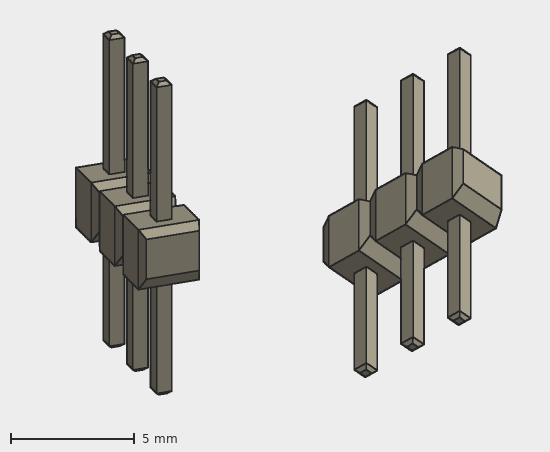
import cadquery as cq

pin_count = 3
total_height = 13.82
row_length = 7.61
pitch = row_length / pin_count

housing_size = 2.64
taper_length = 0.45
taper_side = 0.17
taper_top = 0.26
taper_bottom = 0.62

pin_width = 0.66
tip_width = 0.33
tip_height = 0.15
lower_pin_length = 5.1
upper_pin_length = total_height - housing_size - lower_pin_length

pin_positions = [(i - (pin_count - 1) / 2) * pitch for i in range(pin_count)]


def segment_taper(center_x, side):
    """Tapered end of a segment; side is -1 for the -X end and +1 for the +X end."""
    full_section_x = center_x + side * (pitch / 2 - taper_length)
    end_width = housing_size - 2 * taper_side
    end_height = housing_size - taper_top - taper_bottom
    end_rise = (taper_bottom - taper_top) / 2
    return (
        cq.Workplane("YZ", origin=(full_section_x, 0, housing_size / 2))
        .rect(housing_size, housing_size)
        .workplane(offset=side * taper_length)
        .center(0, end_rise)
        .rect(end_width, end_height)
        .loft(ruled=True)
    )


def housing_segment(center_x):
    """Block around one pin position with its two tapered ends."""
    core = (
        cq.Workplane("XY")
        .box(pitch - 2 * taper_length, housing_size, housing_size, centered=(True, True, False))
        .translate((center_x, 0, 0))
    )
    return core.union(segment_taper(center_x, -1)).union(segment_taper(center_x, 1))


def make_housing():
    """Row of segments joined at their end faces."""
    housing = housing_segment(pin_positions[0])
    for center_x in pin_positions[1:]:
        housing = housing.union(housing_segment(center_x))
    return housing


def make_pin(center_x, base_z, length, direction):
    """Pin standing on a housing face; direction is +1 for up and -1 for down."""
    shank_length = length - tip_height
    shank = (
        cq.Workplane("XY", origin=(center_x, 0, base_z))
        .rect(pin_width, pin_width)
        .extrude(direction * shank_length)
    )
    tip = (
        cq.Workplane("XY", origin=(center_x, 0, base_z + direction * shank_length))
        .rect(pin_width, pin_width)
        .workplane(offset=direction * tip_height)
        .rect(tip_width, tip_width)
        .loft(ruled=True)
    )
    return shank.union(tip)


housing = make_housing()
upper_pins = [make_pin(x, housing_size, upper_pin_length, 1) for x in pin_positions]
lower_pins = [make_pin(x, 0, lower_pin_length, -1) for x in pin_positions]

result = cq.Compound.makeCompound([
    housing.solids().val(),
    *[pin.solids().val() for pin in upper_pins],
    *[pin.solids().val() for pin in lower_pins],
])